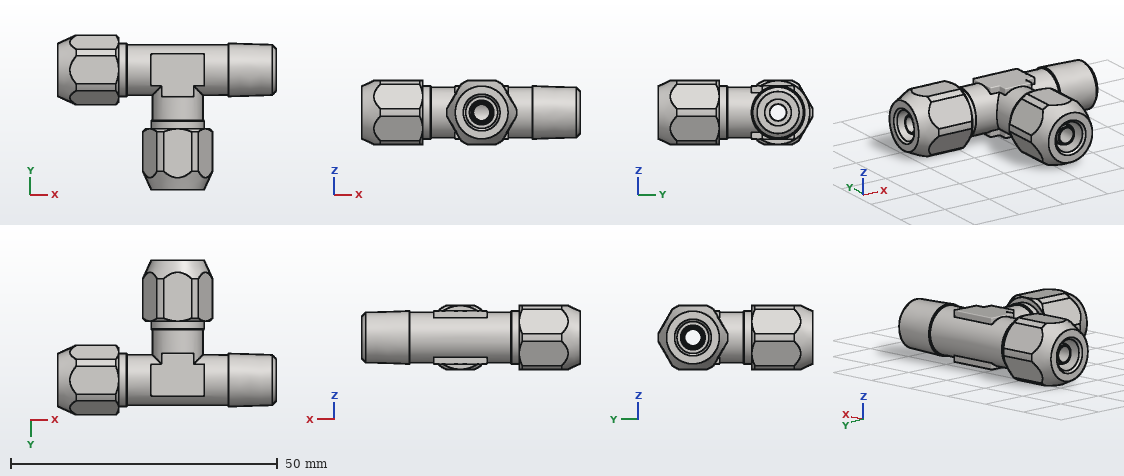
import cadquery as cq
import math

NUT_ARM_LENGTH = 22.5
THREAD_ARM_LENGTH = 18.5

TUBE_RADIUS = 4.75
SHOULDER_RADIUS = 5.0
SHOULDER_START = 9.45
SHOULDER_CHAMFER = 0.15

NUT_LENGTH = 11.5
NUT_BACK = NUT_ARM_LENGTH - NUT_LENGTH
NUT_ACROSS_FLATS = 12.0
NUT_TURNED_RADIUS = 6.55
NUT_FACE_RADIUS = 4.95
NUT_CONE_LENGTH = 3.5
NUT_BACK_CHAMFER = 0.6

SOCKET_RADIUS = 3.0
SOCKET_CHAMFER = 0.45
SOCKET_DEPTH = 6.0
INSERT_DEPTH = 1.4
INSERT_TIP_RADIUS = 2.0
INSERT_ROOT_RADIUS = 2.3
INSERT_TIP_CHAMFER = 0.2
INSERT_TIP_CHAMFER_LENGTH = 0.5
INSERT_BORE_RADIUS = 1.55

RUN_BORE_RADIUS = 2.5

THREAD_TAPER = 1 / 16
THREAD_CHAMFER = 0.8

BLOCK_HALF_LENGTH = 5.0
BLOCK_HALF_WIDTH = 3.0
BLOCK_HALF_HEIGHT = 5.0
BLOCK_FILLET = 0.2


def revolve_about_x(points):
    """Turn a closed (x, radius) outline about the X axis."""
    return cq.Workplane("XY").polyline(points).close().revolve(360, (0, 0, 0), (1, 0, 0))


def along_x(radius, length):
    """Cylinder starting at the crossing and running toward +X."""
    return cq.Workplane("YZ").circle(radius).extrude(length)


def make_nut():
    """Hexagonal nut at the end of an arm, with flats facing up and down."""
    turned = revolve_about_x([
        (NUT_BACK, 0),
        (NUT_BACK, NUT_TURNED_RADIUS - NUT_BACK_CHAMFER),
        (NUT_BACK + NUT_BACK_CHAMFER, NUT_TURNED_RADIUS),
        (NUT_ARM_LENGTH - NUT_CONE_LENGTH, NUT_TURNED_RADIUS),
        (NUT_ARM_LENGTH, NUT_FACE_RADIUS),
        (NUT_ARM_LENGTH, 0),
    ])
    across_corners = NUT_ACROSS_FLATS / math.cos(math.pi / 6)
    hexagon = cq.Workplane("YZ").workplane(offset=NUT_BACK).polygon(6, across_corners).extrude(NUT_LENGTH)
    return turned.intersect(hexagon)


def make_shoulder():
    """Collar between the tube and the nut, chamfered on the tube side."""
    return revolve_about_x([
        (SHOULDER_START, 0),
        (SHOULDER_START, SHOULDER_RADIUS - SHOULDER_CHAMFER),
        (SHOULDER_START + SHOULDER_CHAMFER, SHOULDER_RADIUS),
        (NUT_BACK, SHOULDER_RADIUS),
        (NUT_BACK, 0),
    ])


def make_socket():
    """Ring-shaped hose space around the insert, cut from the face of the nut."""
    face = NUT_ARM_LENGTH
    floor = face - SOCKET_DEPTH
    tip = face - INSERT_DEPTH
    return revolve_about_x([
        (face, 0),
        (face, SOCKET_RADIUS + SOCKET_CHAMFER),
        (face - SOCKET_CHAMFER, SOCKET_RADIUS),
        (floor, SOCKET_RADIUS),
        (floor, INSERT_ROOT_RADIUS),
        (tip - INSERT_TIP_CHAMFER_LENGTH, INSERT_TIP_RADIUS),
        (tip, INSERT_TIP_RADIUS - INSERT_TIP_CHAMFER),
        (tip, 0),
    ])


def make_nut_arm():
    """Tube, shoulder and nut with its socket, pointing toward +X."""
    outside = along_x(TUBE_RADIUS, NUT_BACK).union(make_shoulder()).union(make_nut())
    return outside.cut(make_socket())


def make_thread_arm():
    """Tube ending in a tapered thread blank, pointing toward +X."""
    chamfer_start = THREAD_ARM_LENGTH - THREAD_CHAMFER
    small_radius = SHOULDER_RADIUS - (chamfer_start - SHOULDER_START) * THREAD_TAPER / 2
    thread = revolve_about_x([
        (SHOULDER_START, 0),
        (SHOULDER_START, SHOULDER_RADIUS - SHOULDER_CHAMFER),
        (SHOULDER_START + SHOULDER_CHAMFER, SHOULDER_RADIUS),
        (chamfer_start, small_radius),
        (THREAD_ARM_LENGTH, small_radius - THREAD_CHAMFER),
        (THREAD_ARM_LENGTH, 0),
    ])
    return along_x(TUBE_RADIUS, SHOULDER_START).union(thread)


def make_block():
    """T-shaped prism whose flats stand proud of the tubes above and below."""
    height = 2 * BLOCK_HALF_HEIGHT
    run = cq.Workplane("XY").box(2 * BLOCK_HALF_LENGTH, 2 * BLOCK_HALF_WIDTH, height)
    branch = (
        cq.Workplane("XY")
        .box(2 * BLOCK_HALF_WIDTH, BLOCK_HALF_LENGTH, height)
        .translate((0, -BLOCK_HALF_LENGTH / 2, 0))
    )
    return run.union(branch).edges().fillet(BLOCK_FILLET)


def turn_about_z(shape, angle):
    """Swing an arm around the crossing, by an angle in degrees."""
    return shape.rotate((0, 0, 0), (0, 0, 1), angle)


nut_arm = make_nut_arm()
body = (
    make_thread_arm()
    .union(turn_about_z(nut_arm, 180))
    .union(turn_about_z(nut_arm, -90))
    .union(make_block())
)

insert_bore = along_x(INSERT_BORE_RADIUS, NUT_ARM_LENGTH)
run_bore_start = -SHOULDER_START
run_bore = along_x(RUN_BORE_RADIUS, THREAD_ARM_LENGTH - run_bore_start).translate((run_bore_start, 0, 0))
bores = (
    run_bore
    .union(turn_about_z(insert_bore, 180))
    .union(turn_about_z(insert_bore, -90))
)
result = body.cut(bores)